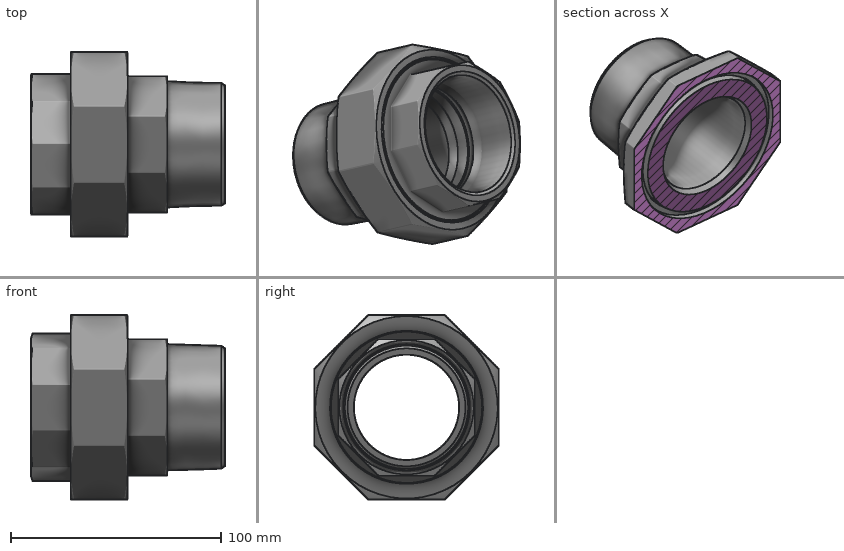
import cadquery as cq
import math


wrench_length = 19.0
nut_length = 27.1
nut_start = wrench_length
nut_end = nut_start + nut_length
male_wrench_end = nut_end + wrench_length
total_length = 92.5

nut_sides = 8
nut_flats = 88.0
female_sides = 10
female_flats = 67.0
male_sides = 8
male_flats = 65.0
corner_round = 1.0
root_fillet = 0.5
crown_fillet = 0.3
crown_inset = 0.6
crown_angle = 20.0

thread_bore_dia = 78.6
nut_mouth_dia = 80.0
lip_bore_dia = 73.0
lip_length = 5.55

flange_face_dia = 77.5
female_mouth_dia = 59.85
female_mouth_depth = 1.0
female_thread_dia = 56.6
joint_bore_dia = 54.0
female_thread_end = 21.3
lip_end = 25.8
seal_recess_dia = 60.6
joint = 29.1

hub_dia = 72.0
male_mouth_dia = 55.0
male_mouth_depth = 0.5
male_bore_dia = 50.0
male_cone_start = 36.35
male_cone_length = 4.2
male_thread_dia = 60.3
male_thread_taper = 1 / 16
tip_length = 1.9
tip_dia = 56.15


def revolved(profile):
    """Solid of revolution about X from (x, radius) points."""
    return cq.Workplane("XZ").polyline(profile).close().revolve(360, (0, 0, 0), (1, 0, 0))


def cylinder(start, end, dia):
    return cq.Workplane("YZ", origin=(start, 0, 0)).circle(dia / 2).extrude(end - start)


def corner_dia(sides, flats):
    return flats / math.cos(math.pi / sides)


def wrench_prism(sides, flats, start, end, crown_start, crown_end):
    """Polygonal prism with flats facing +Y and -Y, rounded edges and crowned ends."""
    prism = (
        cq.Workplane("YZ", origin=(start, 0, 0))
        .transformed(rotate=(0, 0, 180 / sides))
        .polygon(sides, corner_dia(sides, flats))
        .extrude(end - start)
        .edges("|X")
        .fillet(corner_round)
    )
    outer = corner_dia(sides, flats) / 2
    crown = flats / 2 - crown_inset
    drop = (outer - crown) * math.tan(math.radians(crown_angle))
    profile = [(start, 0)]
    if crown_start:
        profile += [(start, crown), (start + drop, outer)]
    else:
        profile += [(start, outer)]
    if crown_end:
        profile += [(end - drop, outer), (end, crown)]
    else:
        profile += [(end, outer)]
    profile += [(end, 0)]
    crowned = prism.intersect(revolved(profile))
    return crowned.faces("%CONE").edges("not(<X or >X or %LINE)").fillet(crown_fillet)


def fillet_root(body, station, sides, flats):
    """Fillet where a wrench shape stands on the flat face at the given station."""
    half = corner_dia(sides, flats) / 2
    root = cq.selectors.BoxSelector(
        (station - root_fillet / 2, -half, -half),
        (station + root_fillet / 2, half, half),
        boundingbox=True,
    )
    return body.edges(root).fillet(root_fillet)


def make_nut():
    body = wrench_prism(nut_sides, nut_flats, nut_start, nut_end, True, True)
    mouth_depth = (nut_mouth_dia - thread_bore_dia) / 2
    lip_start = nut_end - lip_length
    bore = revolved([
        (nut_start, 0),
        (nut_start, nut_mouth_dia / 2),
        (nut_start + mouth_depth, thread_bore_dia / 2),
        (lip_start, thread_bore_dia / 2),
        (lip_start, lip_bore_dia / 2),
        (nut_end, lip_bore_dia / 2),
        (nut_end, 0),
    ])
    return body.cut(bore)


def make_female_end():
    wrench = wrench_prism(female_sides, female_flats, 0, nut_start, True, False)
    flange = cylinder(nut_start, joint, thread_bore_dia).faces("<X").chamfer(
        (thread_bore_dia - flange_face_dia) / 2
    )
    body = wrench.union(flange)
    body = fillet_root(body, nut_start, female_sides, female_flats)
    bore = revolved([
        (0, 0),
        (0, female_mouth_dia / 2),
        (female_mouth_depth, female_thread_dia / 2),
        (female_thread_end, female_thread_dia / 2),
        (lip_end, joint_bore_dia / 2),
        (lip_end, seal_recess_dia / 2),
        (joint, seal_recess_dia / 2),
        (joint, 0),
    ])
    return body.cut(bore)


def make_male_end():
    wrench = wrench_prism(male_sides, male_flats, nut_end, male_wrench_end, False, True)
    body = wrench.union(cylinder(joint, nut_end, hub_dia))
    body = fillet_root(body, nut_end, male_sides, male_flats)
    tip_start = total_length - tip_length
    thread_end_dia = male_thread_dia - male_thread_taper * (tip_start - male_wrench_end)
    body = body.union(revolved([
        (male_wrench_end, 0),
        (male_wrench_end, male_thread_dia / 2),
        (tip_start, thread_end_dia / 2),
        (total_length, tip_dia / 2),
        (total_length, 0),
    ]))
    bore = revolved([
        (joint, 0),
        (joint, male_mouth_dia / 2),
        (joint + male_mouth_depth, joint_bore_dia / 2),
        (male_cone_start, joint_bore_dia / 2),
        (male_cone_start + male_cone_length, male_bore_dia / 2),
        (total_length, male_bore_dia / 2),
        (total_length, 0),
    ])
    return body.cut(bore)


nut = make_nut()
female_end = make_female_end()
male_end = make_male_end()

result = cq.Compound.makeCompound([nut.val(), female_end.val(), male_end.val()])